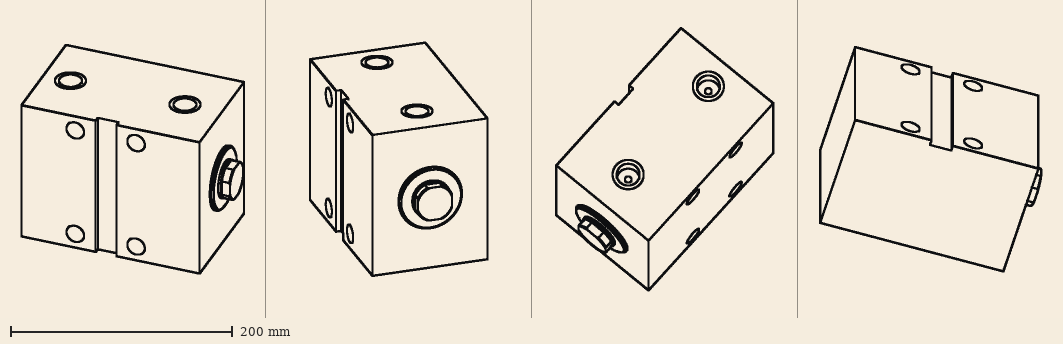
import cadquery as cq

TOTAL_LENGTH = 187.0
HOUSING_LENGTH = 172.6
HOUSING_DEPTH = 110.0
HOUSING_HEIGHT = 140.0
AXIS_Y = HOUSING_DEPTH / 2
AXIS_Z = HOUSING_HEIGHT / 2
FRONT_EDGE_CHAMFER = 0.28

KEYWAY_START = 72.0
KEYWAY_WIDTH = 20.0
KEYWAY_DEPTH = 5.0

MOUNT_HOLE_DIAMETER = 17.0
MOUNT_HOLE_COLUMNS = (52.2, 111.0)
MOUNT_HOLE_EDGE_DISTANCE = 15.0

PORT_COLUMNS = (26.0, 136.9)
SPOTFACE_DIAMETER = 28.0
SPOTFACE_DEPTH = 0.2
PORT_DIAMETER = 20.8
PORT_DEPTH = 14.0
PASSAGE_DIAMETER = 6.0

ROD_DIAMETER = 36.0
ROD_START = 13.0
NECK_DIAMETER = 35.2
SHOULDER_PROJECTION = 5.6
SHOULDER_CHAMFER_LENGTH = 0.7
END_CHAMFER = 0.7
FLAT_SPACING = 32.2

RING_DIAMETER = 60.0
RING_THICKNESS = 3.4
RING_CHAMFER = 1.5


def revolve_about_rod_axis(points):
    """Revolve a closed outline of (x, radius) points about the rod axis."""
    outline = cq.Workplane("XZ").polyline(points).close()
    return outline.revolve(360, (0, 0), (1, 0)).translate((0, AXIS_Y, AXIS_Z))


def vertical_cylinder(x, diameter, bottom, top):
    """Cylinder along Z at position x, in the plane of the rod axis."""
    base = cq.Workplane("XY", origin=(x, AXIS_Y, bottom))
    return base.circle(diameter / 2).extrude(top - bottom)


def make_port(x):
    """Spotface, threaded bore and a narrow passage down to the rod."""
    bore_bottom = HOUSING_HEIGHT - PORT_DEPTH
    spotface = vertical_cylinder(x, SPOTFACE_DIAMETER, HOUSING_HEIGHT - SPOTFACE_DEPTH, HOUSING_HEIGHT)
    bore = vertical_cylinder(x, PORT_DIAMETER, bore_bottom, HOUSING_HEIGHT)
    passage = vertical_cylinder(x, PASSAGE_DIAMETER, AXIS_Z, bore_bottom)
    return spotface.union(bore).union(passage)


def make_housing():
    body = cq.Workplane("XY").box(HOUSING_LENGTH, HOUSING_DEPTH, HOUSING_HEIGHT, centered=False)
    body = body.faces("<Y").edges("|X").chamfer(FRONT_EDGE_CHAMFER)

    keyway = cq.Workplane("XY").box(KEYWAY_WIDTH, KEYWAY_DEPTH, HOUSING_HEIGHT, centered=False)
    body = body.cut(keyway.translate((KEYWAY_START, 0, 0)))

    rows = (MOUNT_HOLE_EDGE_DISTANCE, HOUSING_HEIGHT - MOUNT_HOLE_EDGE_DISTANCE)
    centers = [(x, z) for x in MOUNT_HOLE_COLUMNS for z in rows]
    holes = cq.Workplane("XZ").pushPoints(centers).circle(MOUNT_HOLE_DIAMETER / 2).extrude(-HOUSING_DEPTH)
    body = body.cut(holes)

    rod_radius = ROD_DIAMETER / 2
    rod_bore = revolve_about_rod_axis([
        (ROD_START, 0),
        (ROD_START, rod_radius),
        (HOUSING_LENGTH, rod_radius),
        (HOUSING_LENGTH, 0),
    ])
    body = body.cut(rod_bore)

    for x in PORT_COLUMNS:
        body = body.cut(make_port(x))
    return body


def make_rod():
    rod_radius = ROD_DIAMETER / 2
    neck_radius = NECK_DIAMETER / 2
    shoulder_x = HOUSING_LENGTH + SHOULDER_PROJECTION
    neck_x = shoulder_x + SHOULDER_CHAMFER_LENGTH
    rod = revolve_about_rod_axis([
        (ROD_START, 0),
        (ROD_START, rod_radius),
        (shoulder_x, rod_radius),
        (neck_x, neck_radius),
        (TOTAL_LENGTH - END_CHAMFER, neck_radius),
        (TOTAL_LENGTH, neck_radius - END_CHAMFER),
        (TOTAL_LENGTH, 0),
    ])
    flats_length = TOTAL_LENGTH - neck_x
    end_face = cq.Workplane("YZ", origin=(neck_x, AXIS_Y, AXIS_Z))
    around_square = end_face.rect(ROD_DIAMETER, ROD_DIAMETER).rect(FLAT_SPACING, FLAT_SPACING)
    return rod.cut(around_square.extrude(flats_length))


def make_gland_ring():
    inner_radius = ROD_DIAMETER / 2
    outer_radius = RING_DIAMETER / 2
    outer_x = HOUSING_LENGTH + RING_THICKNESS
    return revolve_about_rod_axis([
        (HOUSING_LENGTH, inner_radius),
        (HOUSING_LENGTH, outer_radius),
        (outer_x - RING_CHAMFER, outer_radius),
        (outer_x, outer_radius - RING_CHAMFER),
        (outer_x, inner_radius),
    ])


housing = make_housing()
rod = make_rod()
gland_ring = make_gland_ring()

result = cq.Compound.makeCompound([housing.val(), rod.val(), gland_ring.val()])